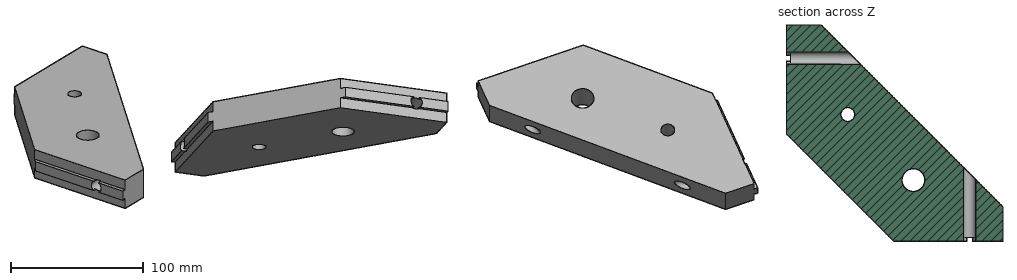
import cadquery as cq

side = 163.0
thickness = 24.0
end_width = 26.0
inner_cut = 80.8

tongue_depth = 3.0
tongue_height = 7.8

edge_hole_diameter = 9.0
edge_hole_from_end = 25.1
small_hole_diameter = 10.3
large_hole_diameter = 17.0
hole_near = 46.1
hole_far = 95.5


def angle_plate(inset, height):
    """Diagonal plate whose left and front edges are moved inward by inset."""
    diagonal_end = inner_cut - inset
    outline = [
        (inset, diagonal_end),
        (diagonal_end, inset),
        (side, inset),
        (side, end_width),
        (end_width, side),
        (inset, side),
    ]
    plate = cq.Workplane("XY").polyline(outline).close().extrude(height)
    return plate.translate((0, 0, (thickness - height) / 2))


def vertical_hole(x, y, diameter):
    return cq.Workplane("XY").center(x, y).circle(diameter / 2).extrude(thickness)


def edge_hole(plane, origin):
    """Cylinder at mid thickness running through the whole plate along the plane normal."""
    profile = cq.Workplane(plane, origin=origin).circle(edge_hole_diameter / 2)
    return profile.extrude(side, both=True)


result = angle_plate(tongue_depth, thickness).union(angle_plate(0, tongue_height))

result = result.cut(vertical_hole(hole_near, hole_far, small_hole_diameter))
result = result.cut(vertical_hole(hole_far, hole_near, large_hole_diameter))

edge_hole_position = side - edge_hole_from_end
result = result.cut(edge_hole("YZ", (0, edge_hole_position, thickness / 2)))
result = result.cut(edge_hole("XZ", (edge_hole_position, 0, thickness / 2)))

result = result.translate((-side / 2, -side / 2, -thickness / 2))